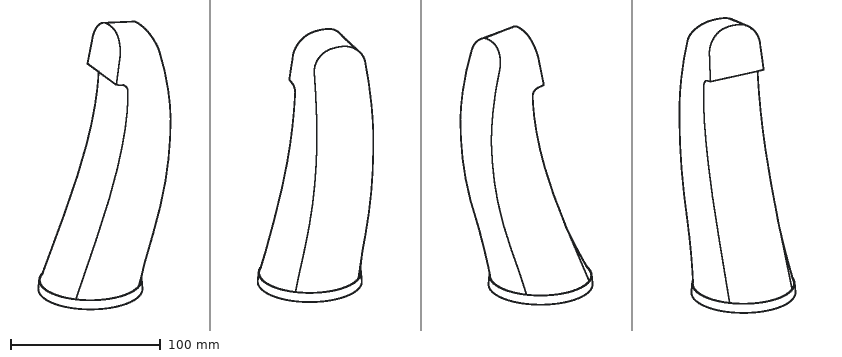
import cadquery as cq
import math

RING_BOTTOM_RADIUS = 35.0
RING_TOP_RADIUS = 34.3
RING_HEIGHT = 6.5

STEM_RADIUS = 33.8
NECK_Z = 122.0
NECK_HALF_WIDTH = 21.5
NECK_FRONT_Y = 15.0
NECK_BACK_Y = 49.5
STEM_CORNER = STEM_RADIUS * math.sqrt(0.5)

MIDDLE_SECTIONS = [
    (34.0, 23.2, 29.8, -12.8, -18.7, 32.6, 39.0),
    (64.2, 22.6, 26.5, -1.1, -4.3, 41.9, 44.3),
    (92.5, 22.0, 23.8, 8.1, 7.0, 47.4, 48.0),
]

NECK_FRONT_BULGE = (16.6, 135.0)
NOTCH_START = (17.4, 147.7)
NOTCH_MIDDLE = (16.0, 151.5)
NOTCH_END = (12.6, 153.4)
LIP = (8.7, 154.3)
FRONT_TOP = (14.7, 188.7)
BACK_TOP_Y = 37.7
BACK_BULGE = (46.8, 150.0)
CROWN_SLOPE = math.radians(10)
BACK_TOP = (BACK_TOP_Y, FRONT_TOP[1] - (BACK_TOP_Y - FRONT_TOP[0]) * math.tan(CROWN_SLOPE))

SIDE_BULGE = (20.5, 151.0)
SHOULDER_HALF_WIDTH = 19.5
SHOULDER_Z = 171.3
CROWN_LOWER = (16.6, 0.57)
CROWN_UPPER = (10.4, 0.89)
OUTLINE_FRONT_Y = 0.0
OUTLINE_BACK_Y = 56.6


def make_ring():
    """Low tapered disc under the stem."""
    return (
        cq.Workplane("XY")
        .circle(RING_BOTTOM_RADIUS)
        .workplane(offset=RING_HEIGHT)
        .circle(RING_TOP_RADIUS)
        .loft(ruled=True)
    )


def stem_section(z, corner_x, side_x, front_corner_y, front_y, back_corner_y, back_y):
    """Closed wire of four arcs joining the four corners of the stem at height z."""
    middle_y = (front_corner_y + back_corner_y) / 2
    return (
        cq.Workplane("XY", origin=(0, 0, z))
        .moveTo(-corner_x, front_corner_y)
        .threePointArc((0, front_y), (corner_x, front_corner_y))
        .threePointArc((side_x, middle_y), (corner_x, back_corner_y))
        .threePointArc((0, back_y), (-corner_x, back_corner_y))
        .threePointArc((-side_x, middle_y), (-corner_x, front_corner_y))
        .close()
        .val()
    )


def neck_section():
    """Rectangular wire at the top of the stem."""
    return (
        cq.Workplane("XY", origin=(0, 0, NECK_Z))
        .moveTo(-NECK_HALF_WIDTH, NECK_FRONT_Y)
        .lineTo(NECK_HALF_WIDTH, NECK_FRONT_Y)
        .lineTo(NECK_HALF_WIDTH, NECK_BACK_Y)
        .lineTo(-NECK_HALF_WIDTH, NECK_BACK_Y)
        .close()
        .val()
    )


def make_stem():
    """Smooth loft from the round foot to the rectangular neck."""
    foot = stem_section(
        RING_HEIGHT, STEM_CORNER, STEM_RADIUS, -STEM_CORNER, -STEM_RADIUS, STEM_CORNER, STEM_RADIUS
    )
    middle = [stem_section(*section) for section in MIDDLE_SECTIONS]
    return cq.Workplane(cq.Solid.makeLoft([foot, *middle, neck_section()]))


def head_profile():
    """Side profile of the head with the notch under its lip, extruded across the neck width."""
    return (
        cq.Workplane("YZ")
        .moveTo(NECK_FRONT_Y, NECK_Z)
        .threePointArc(NECK_FRONT_BULGE, NOTCH_START)
        .threePointArc(NOTCH_MIDDLE, NOTCH_END)
        .lineTo(*LIP)
        .lineTo(*FRONT_TOP)
        .lineTo(*BACK_TOP)
        .threePointArc(BACK_BULGE, (NECK_BACK_Y, NECK_Z))
        .close()
        .extrude(NECK_HALF_WIDTH, both=True)
    )


def head_outline(y):
    """Rounded outline of the head at depth y; the crown falls toward the back."""
    crown_z = FRONT_TOP[1] - (y - FRONT_TOP[0]) * math.tan(CROWN_SLOPE)
    rise = crown_z - SHOULDER_Z
    right = [(x, SHOULDER_Z + share * rise) for x, share in (CROWN_LOWER, CROWN_UPPER)]
    left = [(-x, z) for x, z in reversed(right)]
    crown = [*right, (0, crown_z), *left, (-SHOULDER_HALF_WIDTH, SHOULDER_Z)]
    side_x, side_z = SIDE_BULGE
    return (
        cq.Workplane("XZ", origin=(0, y, 0))
        .moveTo(-NECK_HALF_WIDTH, NECK_Z)
        .lineTo(NECK_HALF_WIDTH, NECK_Z)
        .threePointArc((side_x, side_z), (SHOULDER_HALF_WIDTH, SHOULDER_Z))
        .spline(crown, includeCurrent=True)
        .threePointArc((-side_x, side_z), (-NECK_HALF_WIDTH, NECK_Z))
        .close()
        .val()
    )


def make_head():
    """Side profile trimmed to the rounded, tapering outline."""
    outlines = [head_outline(OUTLINE_FRONT_Y), head_outline(OUTLINE_BACK_Y)]
    envelope = cq.Workplane(cq.Solid.makeLoft(outlines, True))
    return head_profile().intersect(envelope)


ring = make_ring()
spout = make_stem().union(make_head())

result = cq.Compound.makeCompound([ring.val(), *spout.solids().vals()])